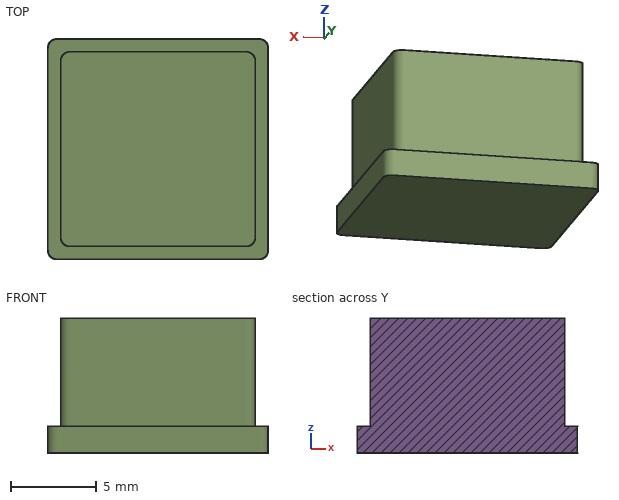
import cadquery as cq

flange_side = 12.954
flange_height = 1.5875
body_side = 11.43
total_height = 7.9375
corner_radius = 0.53

body_height = total_height - flange_height


def rounded_square_block(side, height, base_z):
    """Square block centred on Z, with its four vertical edges rounded."""
    return (
        cq.Workplane("XY")
        .workplane(offset=base_z)
        .rect(side, side)
        .extrude(height)
        .edges("|Z")
        .fillet(corner_radius)
    )


flange = rounded_square_block(flange_side, flange_height, 0)
body = rounded_square_block(body_side, body_height, flange_height)

result = flange.union(body)